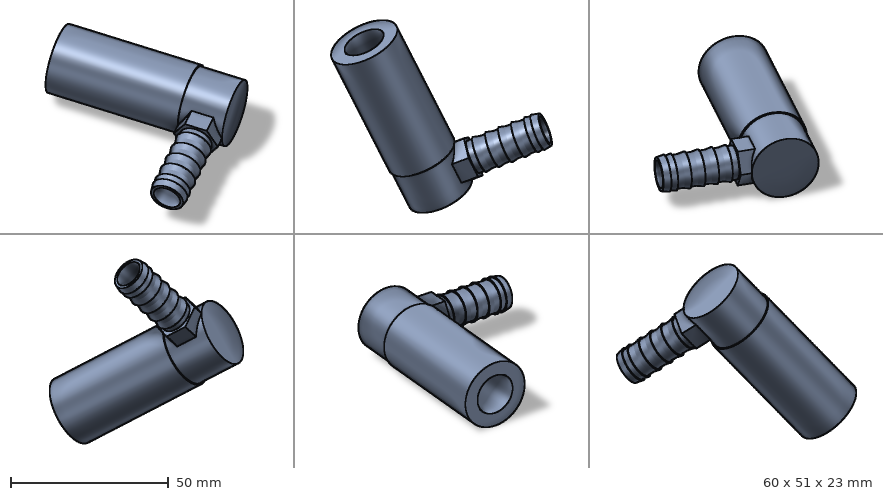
import cadquery as cq
import math

total_length = 60.0
total_width = 51.0

sleeve_diameter = 23.0
sleeve_length = 45.0
head_diameter = 22.0
head_length = total_length - sleeve_length
socket_diameter = 13.55
bore_diameter = 9.0

tail_x = sleeve_length + head_length / 2
tail_reach = total_width - sleeve_diameter / 2
hex_across_flats = 12.95
hex_across_corners = hex_across_flats / math.cos(math.radians(30))
hex_reach = 14.65
tail_diameter = 11.0

crest_diameter = 12.0
barb_count = 5
barb_pitch = 4.5
barb_length = 2.2
tip_barb_length = 2.45


def cylinder_along_x(diameter, start, length):
    return cq.Workplane("YZ", origin=(start, 0, 0)).circle(diameter / 2).extrude(length)


def tail_plane(reach=0.0):
    """Plane across the tail at the given reach, with its normal toward the tip."""
    return cq.Workplane("XZ", origin=(tail_x, -reach, 0))


def barb(start, length):
    return (
        tail_plane(start)
        .circle(crest_diameter / 2)
        .workplane(offset=length)
        .circle(tail_diameter / 2)
        .loft(ruled=True)
    )


def make_body():
    sleeve = cylinder_along_x(sleeve_diameter, 0, sleeve_length)
    head = cylinder_along_x(head_diameter, sleeve_length, head_length)
    return sleeve.union(head)


def make_tail():
    tail = tail_plane().polygon(6, hex_across_corners).extrude(hex_reach)
    tail = tail.union(tail_plane().circle(tail_diameter / 2).extrude(tail_reach))
    tip_barb_start = tail_reach - tip_barb_length
    tail = tail.union(barb(tip_barb_start, tip_barb_length))
    for index in range(barb_count):
        start = tip_barb_start - barb_length - index * barb_pitch
        tail = tail.union(barb(start, barb_length))
    return tail


def make_passage():
    """Two equal bores meeting at a right angle, each closed by the far wall of the other."""
    bore_radius = bore_diameter / 2
    body_bore = cylinder_along_x(bore_diameter, 0, tail_x)
    tail_bore = tail_plane().circle(bore_radius).extrude(tail_reach)
    crossing_in_x = cylinder_along_x(bore_diameter, tail_x - bore_diameter, 2 * bore_diameter)
    crossing_in_y = tail_plane().circle(bore_radius).extrude(bore_diameter, both=True)
    corner = crossing_in_x.intersect(crossing_in_y)
    return body_bore.union(tail_bore).union(corner)


socket = cylinder_along_x(socket_diameter, 0, sleeve_length)

result = make_body().union(make_tail()).cut(socket).cut(make_passage())